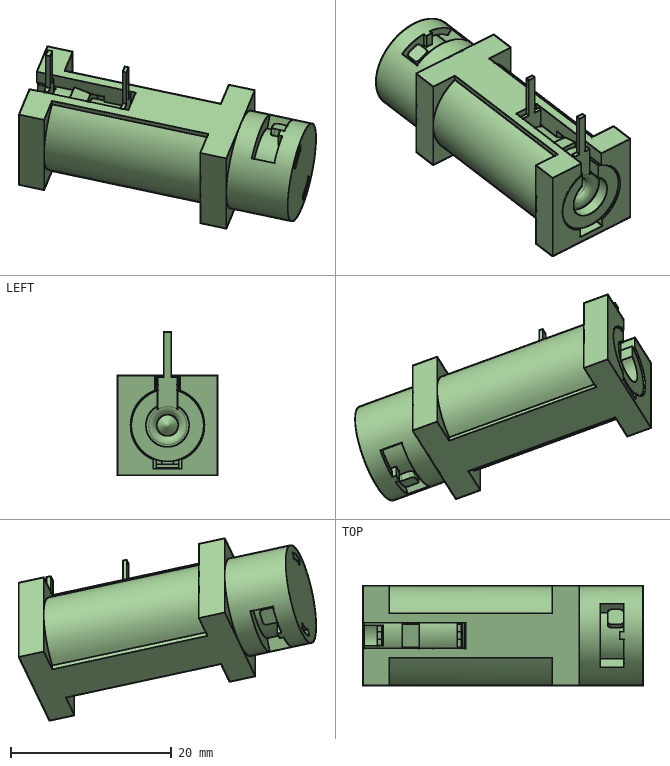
import cadquery as cq
import math

length = 35.05
width = 12.5
height_with_pins = 17.95
half_width = width / 2
front_flange_end = 3.3
rear_flange_start = 23.65
rear_flange_end = 27.05
rib_width = 5.55

bore_radius = 4.63
narrow_bore_radius = 3.8
bore_step = 8.8
slot_length = 12.9
slot_width = 3.2
keyway_width = 3.55
keyway_floor = 5.4

insert_radius = 4.52
narrow_insert_radius = 3.68
insert_start = 0.2
insert_end = 12.7
mouth_radius = 2.7
core_radius = 2.4
front_notch_width = 2.55
front_notch_end = 2.55
rear_notch_width = 2.9
rear_notch_end = 12.45

latch_start = 4.95
latch_end = 7.08
latch_width = 2.87
latch_base = 4.2
top_latch_height = 5.08
top_latch_rear_height = 4.55
bottom_latch_height = 5.33
bottom_step_height = 4.87
bottom_step_length = 0.35
bottom_rib_width = 1.4

front_contact_start = 1.8
front_contact_thickness = 0.55
rear_contact_start = 11.8
rear_contact_thickness = 0.5
rear_contact_width = 2.87
front_contact_width = 2.42
contact_shoulder = 6.03
pin_width = 0.95
pin_top = height_with_pins - half_width

socket_radius = 1.33
flare_radius = core_radius - socket_radius
socket_depth = 3.15

window_start = 29.7
window_end = 32.63
window_half_angle = 39.5
window_floor_radius = 4.52
tab_width = 0.95
tab_length = 0.53
nub_size = 2.07
nub_start = 30.6
nub_height = 5.33
nub_angle = 26.0
nub_corner_radius = 0.45


def cylinder(radius, start, end):
    return cq.Workplane("YZ").workplane(offset=start).circle(radius).extrude(end - start)


def centred_box(start, end, box_width, bottom, top):
    """Box from start to end along X, centred on Y."""
    return cq.Workplane("XY").box(
        end - start, box_width, top - bottom, centered=(False, True, False)
    ).translate((start, 0, bottom))


def make_body():
    body = cylinder(half_width, 0, length)
    body = body.union(centred_box(0, front_flange_end, width, -half_width, half_width))
    body = body.union(centred_box(rear_flange_start, rear_flange_end, width, -half_width, half_width))
    body = body.union(centred_box(0, rear_flange_end, rib_width, -half_width, half_width))
    body = body.cut(cylinder(bore_radius, 0, bore_step))
    body = body.cut(cylinder(narrow_bore_radius, bore_step, slot_length))
    body = body.cut(centred_box(0, slot_length, slot_width, 0, half_width))
    return body.cut(centred_box(0, slot_length, keyway_width, -keyway_floor, 0))


def make_top_latch():
    """Ramp that is highest at its front edge."""
    return (
        cq.Workplane("XZ")
        .polyline([
            (latch_start, latch_base),
            (latch_start, top_latch_height),
            (latch_end, top_latch_rear_height),
            (latch_end, latch_base),
        ])
        .close()
        .extrude(latch_width / 2, both=True)
    )


def make_bottom_latch():
    """Block in the keyway with a lower step and a short middle rib in front of it."""
    block_start = latch_start + bottom_step_length
    rib_start = latch_start - bottom_step_length
    block = centred_box(block_start, latch_end, latch_width, -bottom_latch_height, -latch_base)
    step = centred_box(latch_start, block_start, latch_width, -bottom_step_height, -latch_base)
    rib = centred_box(rib_start, latch_start, bottom_rib_width, -bottom_step_height, -latch_base)
    return block.union(step).union(rib)


def make_insert():
    insert = cylinder(insert_radius, insert_start, latch_end)
    insert = insert.union(cylinder(narrow_insert_radius, latch_end, insert_end))
    insert = insert.cut(cylinder(mouth_radius, insert_start, front_contact_start))
    insert = insert.cut(
        centred_box(insert_start, front_notch_end, front_notch_width, 0, insert_radius)
    )
    insert = insert.cut(
        centred_box(rear_contact_start, rear_notch_end, rear_notch_width, 0, insert_radius)
    )
    insert = insert.union(cylinder(core_radius, front_contact_start, slot_length))
    return insert.union(make_top_latch()).union(make_bottom_latch())


def make_contact(start, thickness, plate_width):
    """Flat plate standing on the insert axis, narrowing to a solder pin."""
    plate = centred_box(start, start + thickness, plate_width, 0, contact_shoulder)
    return plate.union(centred_box(start, start + thickness, pin_width, 0, pin_top))


def make_socket():
    """Flared hole whose floor is a cone pointing back to the mouth."""
    face = front_contact_start
    throat = face + flare_radius
    floor = throat + socket_depth
    bend = flare_radius * math.sqrt(0.5)
    return (
        cq.Workplane("XZ")
        .moveTo(face, 0)
        .lineTo(face, core_radius)
        .threePointArc((throat - bend, core_radius - bend), (throat, socket_radius))
        .lineTo(floor, socket_radius)
        .lineTo(floor - socket_radius, 0)
        .close()
        .revolve(360, (0, 0, 0), (1, 0, 0))
    )


def make_wedge(start, end, first_angle, last_angle):
    """Sector about the X axis, reaching past the cap; angles run from +Z towards +Y."""
    reach = 2 * half_width
    corners = [
        (reach * math.tan(math.radians(angle)), reach) for angle in (first_angle, last_angle)
    ]
    profile = cq.Workplane("YZ").workplane(offset=start).polyline([(0, 0)] + corners).close()
    return profile.extrude(end - start)


def make_window():
    """Arc-shaped opening on the top of the cap, with a tab on its rear edge."""
    window = make_wedge(window_start, window_end, -window_half_angle, window_half_angle)
    window = window.cut(cylinder(window_floor_radius, window_start, window_end))
    return window.cut(centred_box(window_end - tab_length, window_end, tab_width, 0, half_width))


def make_entry_track():
    """Passage from the rear under the cap wall, between the tab and the -Y end of the window."""
    track = make_wedge(window_end, length, -window_half_angle, 0)
    track = track.intersect(cylinder(nub_height, window_end, length))
    track = track.cut(cylinder(window_floor_radius, window_end, length))
    return track.cut(centred_box(window_end, length, tab_width, 0, half_width))


def make_nub():
    """Bayonet nub with rounded corners, leaning towards +Y."""
    nub = centred_box(nub_start, window_end, nub_size, 0, nub_height)
    return nub.edges("|Z").fillet(nub_corner_radius).rotate((0, 0, 0), (1, 0, 0), -nub_angle)


result = make_body().union(make_insert())
result = result.union(make_contact(front_contact_start, front_contact_thickness, front_contact_width))
result = result.union(make_contact(rear_contact_start, rear_contact_thickness, rear_contact_width))
result = result.cut(make_socket())

for turn in (0, 180):
    opening = make_window().union(make_entry_track()).rotate((0, 0, 0), (1, 0, 0), turn)
    nub = make_nub().rotate((0, 0, 0), (1, 0, 0), turn)
    result = result.cut(opening).union(nub)